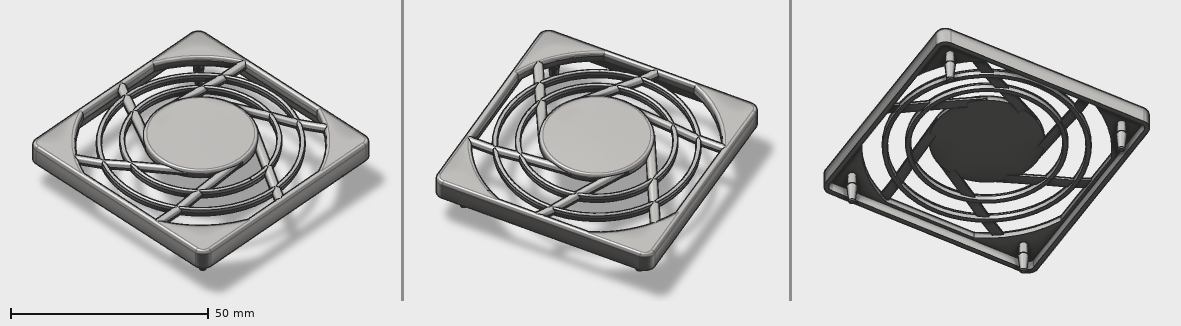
import cadquery as cq
import math

FRAME_SIZE = 62.0
FRAME_HEIGHT = 5.5
CORNER_RADIUS = 2.85
EDGE_ROUND = 1.0
RIM_WIDTH = 2 * EDGE_ROUND
WALL = 1.2
PLATE_THICKNESS = 2.6
OPENING_RADIUS = 31.75

HUB_RADIUS = 14.65
HUB_ROUND = 0.9
HUB_TOP = 8.5
HUB_EDGE_TOP = 8.0
HUB_BOTTOM = HUB_TOP - PLATE_THICKNESS

INNER_RING_RADIUS = 19.95
OUTER_RING_RADIUS = 25.85
RING_WIDTH = 1.4
RING_EDGE_WIDTH = 1.05
RING_CROWN = 0.25
RING_WIDEST_DEPTH = 1.0
RING_HEIGHT = 2.25

ROD_COUNT = 6
ROD_WIDTH = 2.6
ROD_OFFSET = 13.45
ROD_HEIGHT = 1.55
ROD_CROWN = 0.9
ROD_START_TOP = 7.95
ROD_INNER_BEND_TOP = 6.45
ROD_END_TOP = FRAME_HEIGHT

PIN_SPACING = 50.1
NECK_RADIUS = 1.1
SHOULDER_RADIUS = 1.35
TIP_RADIUS = 0.85
TIP_CHAMFER = 0.3
SHOULDER_DEPTH = 0.8
SHOULDER_CHAMFER = 0.2
PIN_DEPTH = 6.65

HALF_OPENING = FRAME_SIZE / 2 - RIM_WIDTH
HALF_RIDGE = FRAME_SIZE / 2 - EDGE_ROUND
PLATE_BOTTOM = FRAME_HEIGHT - PLATE_THICKNESS


def flared_half_profile(plane, half_width):
    """Half section of a cutter whose side flares outwards in a round at the frame top."""
    round_start = FRAME_HEIGHT - EDGE_ROUND
    diagonal = EDGE_ROUND * math.sqrt(0.5)
    middle = (half_width + EDGE_ROUND - diagonal, round_start + diagonal)
    return (
        cq.Workplane(plane)
        .moveTo(0, 0)
        .lineTo(half_width, 0)
        .lineTo(half_width, round_start)
        .threePointArc(middle, (half_width + EDGE_ROUND, FRAME_HEIGHT))
        .lineTo(0, FRAME_HEIGHT)
        .close()
    )


def flared_slab(plane):
    half = flared_half_profile(plane, HALF_OPENING).extrude(FRAME_SIZE, both=True)
    return half.union(half.rotate((0, 0, 0), (0, 0, 1), 180))


def make_frame():
    body = (
        cq.Workplane("XY")
        .rect(FRAME_SIZE, FRAME_SIZE)
        .extrude(FRAME_HEIGHT)
        .edges("|Z")
        .fillet(CORNER_RADIUS)
        .faces(">Z")
        .edges()
        .fillet(EDGE_ROUND)
    )
    cavity = (
        cq.Workplane("XY")
        .rect(FRAME_SIZE - 2 * WALL, FRAME_SIZE - 2 * WALL)
        .extrude(PLATE_BOTTOM)
        .edges("|Z")
        .fillet(CORNER_RADIUS - WALL)
    )
    round_opening = flared_half_profile("XZ", OPENING_RADIUS).revolve(360, (0, 0), (0, 1))
    opening = round_opening.intersect(flared_slab("XZ")).intersect(flared_slab("YZ"))
    return body.cut(cavity).cut(opening)


def make_hub():
    flat_radius = HUB_RADIUS - HUB_ROUND
    round_start = HUB_EDGE_TOP - HUB_ROUND
    diagonal = HUB_ROUND * math.sqrt(0.5)
    dome_rise = HUB_TOP - HUB_EDGE_TOP
    dome_radius = (flat_radius**2 + dome_rise**2) / (2 * dome_rise)
    dome_middle_radius = flat_radius / 2
    dome_middle_drop = dome_radius - math.sqrt(dome_radius**2 - dome_middle_radius**2)
    return (
        cq.Workplane("XZ")
        .moveTo(0, HUB_BOTTOM)
        .lineTo(HUB_RADIUS, HUB_BOTTOM)
        .lineTo(HUB_RADIUS, round_start)
        .threePointArc((flat_radius + diagonal, round_start + diagonal), (flat_radius, HUB_EDGE_TOP))
        .threePointArc((dome_middle_radius, HUB_TOP - dome_middle_drop), (0, HUB_TOP))
        .close()
        .revolve(360, (0, 0), (0, 1))
    )


def make_ring(radius, top):
    """Ring with an arched top; its section is drawn around its topmost point."""
    half_width = RING_WIDTH / 2
    half_edge = RING_EDGE_WIDTH / 2
    section = (
        cq.Workplane("XZ", origin=(radius, 0, top))
        .moveTo(-half_edge, -RING_HEIGHT)
        .lineTo(half_edge, -RING_HEIGHT)
        .lineTo(half_width, -RING_WIDEST_DEPTH)
        .lineTo(half_edge, -RING_CROWN)
        .threePointArc((0, 0), (-half_edge, -RING_CROWN))
        .lineTo(-half_width, -RING_WIDEST_DEPTH)
        .close()
    )
    return section.revolve(360, (-radius, 0), (-radius, 1))


def distance_along_rod(radius):
    """Distance from a rod's tangent point to where it crosses a circle about the centre."""
    return math.sqrt(radius**2 - ROD_OFFSET**2)


def make_rod():
    """Rod running along +Y, bent at both rings and level outside the outer ring."""
    inner = distance_along_rod(INNER_RING_RADIUS)
    outer = distance_along_rod(OUTER_RING_RADIUS)
    slope = (ROD_INNER_BEND_TOP - ROD_START_TOP) / inner
    crest = [
        (0, ROD_START_TOP),
        (inner, ROD_INNER_BEND_TOP),
        (outer, ROD_END_TOP),
        (HALF_RIDGE, ROD_END_TOP),
    ]
    path = cq.Workplane("YZ", origin=(-ROD_OFFSET, 0, 0)).polyline(crest)
    plane = cq.Workplane(
        cq.Plane(origin=(-ROD_OFFSET, *crest[0]), xDir=(-1, 0, 0), normal=(0, 1, slope))
    )
    section = (
        plane.moveTo(-ROD_WIDTH / 2, -ROD_HEIGHT)
        .lineTo(ROD_WIDTH / 2, -ROD_HEIGHT)
        .lineTo(ROD_WIDTH / 2, -ROD_CROWN)
        .threePointArc((0, 0), (-ROD_WIDTH / 2, -ROD_CROWN))
        .close()
    )
    return section.sweep(path, transition="right")


def make_pin():
    profile = [
        (0, PLATE_BOTTOM),
        (NECK_RADIUS, PLATE_BOTTOM),
        (NECK_RADIUS, -SHOULDER_DEPTH),
        (SHOULDER_RADIUS - SHOULDER_CHAMFER, -SHOULDER_DEPTH),
        (SHOULDER_RADIUS, -SHOULDER_DEPTH - SHOULDER_CHAMFER),
        (TIP_RADIUS, TIP_CHAMFER - PIN_DEPTH),
        (TIP_RADIUS - TIP_CHAMFER, -PIN_DEPTH),
        (0, -PIN_DEPTH),
    ]
    return cq.Workplane("XZ").polyline(profile).close().revolve(360, (0, 0), (0, 1))


result = make_frame().union(make_hub())

rod_limits = cq.Workplane("XY").box(2 * HALF_RIDGE, 2 * HALF_RIDGE, 2 * FRAME_SIZE)
rod = make_rod()
for i in range(ROD_COUNT):
    turned_rod = rod.rotate((0, 0, 0), (0, 0, 1), i * 360 / ROD_COUNT)
    result = result.union(turned_rod.intersect(rod_limits))

result = result.union(make_ring(INNER_RING_RADIUS, ROD_INNER_BEND_TOP))
result = result.union(make_ring(OUTER_RING_RADIUS, ROD_END_TOP))

pin = make_pin()
for x in (-PIN_SPACING / 2, PIN_SPACING / 2):
    for y in (-PIN_SPACING / 2, PIN_SPACING / 2):
        result = result.union(pin.translate((x, y, 0)))